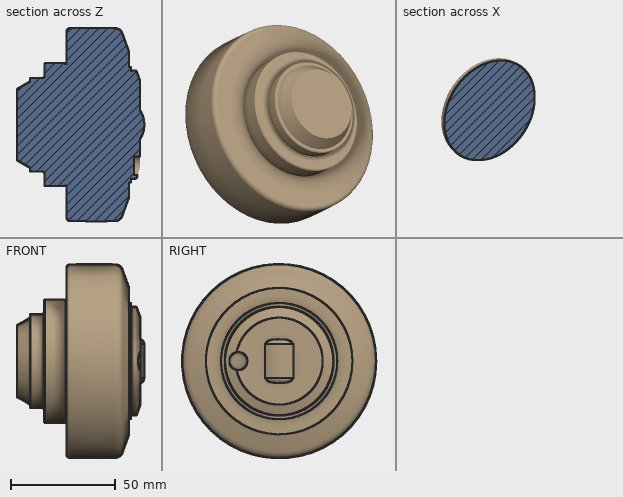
import cadquery as cq
import math


OVERALL_LENGTH = 61.0

TIP_DIA = 34.2
TIP_LENGTH = 6.2
TIP_ANGLE = 30.0
SPIGOT_DIA = 45.0
SPIGOT_CHAMFER = 0.4
SPIGOT_COLLAR_DIA = 46.0
SPIGOT_COLLAR_START = 12.7

FLANGE_DIA = 59.0
FLANGE_START = 13.0
FLANGE_CHAMFER = 0.5
RELIEF_DIA = 58.2
RELIEF_START = 23.2

RING_DIA = 92.79
RING_START = 23.6
RING_END = 53.6
RING_BACK_FILLET = 2.0
RING_FRONT_FILLET = 4.0
FRONT_FILLET_START = 46.7
BEVEL_ANGLE = 20.0
CROWN_DROP = 0.15

SEAL_DIA = 55.5
SEAL_END = 54.6
CAP_DIA = 52.0
CAP_RELIEF_DIA = 51.6
CAP_START = 54.8
CAP_END = 59.0
CAP_FILLET = 1.0
CAP_FILLET_START = 56.4

ROLLER_RADIUS = 12.4
ROLLER_WIDTH = 16.1
SHOULDER_DROP = 0.2
SHOULDER_FILLET = 2.5

CAP_HOLE_DIA = 8.6
CAP_HOLE_OFFSET = 19.5
CAP_HOLE_DEPTH = 3.0


def turned(profile):
    """Revolve a closed (x, radius) profile about the X axis."""
    return profile.close().revolve(360, (0, 0, 0), (1, 0, 0))


def make_spigot():
    """Conical tip, cylindrical spigot and collar."""
    tip_radius = TIP_DIA / 2
    radius = SPIGOT_DIA / 2
    profile = (
        cq.Workplane("XY")
        .lineTo(0, tip_radius)
        .lineTo(TIP_LENGTH, tip_radius + TIP_LENGTH * math.tan(math.radians(TIP_ANGLE)))
        .lineTo(TIP_LENGTH, radius - SPIGOT_CHAMFER)
        .lineTo(TIP_LENGTH + SPIGOT_CHAMFER, radius)
        .lineTo(SPIGOT_COLLAR_START, radius)
        .lineTo(SPIGOT_COLLAR_START, SPIGOT_COLLAR_DIA / 2)
        .lineTo(FLANGE_START, SPIGOT_COLLAR_DIA / 2)
        .lineTo(FLANGE_START, 0)
    )
    return turned(profile)


def make_flange():
    """Chamfered flange with a shallow relief next to the outer ring."""
    radius = FLANGE_DIA / 2
    profile = (
        cq.Workplane("XY")
        .moveTo(FLANGE_START, 0)
        .lineTo(FLANGE_START, radius - FLANGE_CHAMFER)
        .lineTo(FLANGE_START + FLANGE_CHAMFER, radius)
        .lineTo(RELIEF_START, radius)
        .lineTo(RELIEF_START, RELIEF_DIA / 2)
        .lineTo(RING_START, RELIEF_DIA / 2)
        .lineTo(RING_START, 0)
    )
    return turned(profile)


def bevel_arc(start_x, start_radius, fillet):
    """Middle and end points of the arc that blends a cylinder into a bevel."""
    sweep = math.radians(90 - BEVEL_ANGLE)
    points = []
    for angle in (sweep / 2, sweep):
        x = start_x + fillet * math.sin(angle)
        radius = start_radius - fillet * (1 - math.cos(angle))
        points.append((x, radius))
    return points


def bevel_end(start, end_x):
    """Point where the bevel that leaves start reaches end_x."""
    return (end_x, start[1] - (end_x - start[0]) / math.tan(math.radians(BEVEL_ANGLE)))


def make_outer_ring():
    """Slightly crowned ring, rounded at the back and bevelled at the front."""
    crown_radius = RING_DIA / 2
    edge_radius = crown_radius - CROWN_DROP
    tread_start = RING_START + RING_BACK_FILLET
    fillet_center_radius = edge_radius - RING_BACK_FILLET
    fillet_reach = RING_BACK_FILLET * math.sqrt(0.5)
    front_mid, front_end = bevel_arc(FRONT_FILLET_START, edge_radius, RING_FRONT_FILLET)
    profile = (
        cq.Workplane("XY")
        .moveTo(RING_START, 0)
        .lineTo(RING_START, fillet_center_radius)
        .threePointArc(
            (tread_start - fillet_reach, fillet_center_radius + fillet_reach),
            (tread_start, edge_radius),
        )
        .threePointArc(
            ((tread_start + FRONT_FILLET_START) / 2, crown_radius),
            (FRONT_FILLET_START, edge_radius),
        )
        .threePointArc(front_mid, front_end)
        .lineTo(*bevel_end(front_end, RING_END))
        .lineTo(RING_END, 0)
    )
    return turned(profile)


def make_end_cap():
    """Seal disc, relief and bevelled end cap."""
    radius = CAP_DIA / 2
    edge_mid, edge_end = bevel_arc(CAP_FILLET_START, radius, CAP_FILLET)
    profile = (
        cq.Workplane("XY")
        .moveTo(RING_END, 0)
        .lineTo(RING_END, SEAL_DIA / 2)
        .lineTo(SEAL_END, SEAL_DIA / 2)
        .lineTo(SEAL_END, CAP_RELIEF_DIA / 2)
        .lineTo(CAP_START, CAP_RELIEF_DIA / 2)
        .lineTo(CAP_START, radius)
        .lineTo(CAP_FILLET_START, radius)
        .threePointArc(edge_mid, edge_end)
        .lineTo(*bevel_end(edge_end, CAP_END))
        .lineTo(CAP_END, 0)
    )
    return turned(profile)


def make_side_roller():
    """Roller along Z with a slightly smaller, rounded shoulder at each end."""
    center_x = OVERALL_LENGTH - ROLLER_RADIUS
    shoulder_length = ROLLER_WIDTH + 2 * SHOULDER_FILLET
    plane = cq.Workplane("XY", origin=(center_x, 0, 0))
    roller = plane.circle(ROLLER_RADIUS).extrude(ROLLER_WIDTH / 2, both=True)
    shoulder = plane.circle(ROLLER_RADIUS - SHOULDER_DROP).extrude(shoulder_length / 2, both=True)
    shoulder = shoulder.faces("|Z").edges().fillet(SHOULDER_FILLET)
    return roller.union(shoulder)


def make_cap_hole():
    """Blind hole sunk into the end cap beside the side roller."""
    return (
        cq.Workplane("YZ", origin=(CAP_END - CAP_HOLE_DEPTH, 0, 0))
        .center(-CAP_HOLE_OFFSET, 0)
        .circle(CAP_HOLE_DIA / 2)
        .extrude(CAP_HOLE_DEPTH)
    )


body = make_spigot().union(make_flange()).union(make_outer_ring()).union(make_end_cap())
result = body.cut(make_cap_hole()).union(make_side_roller())